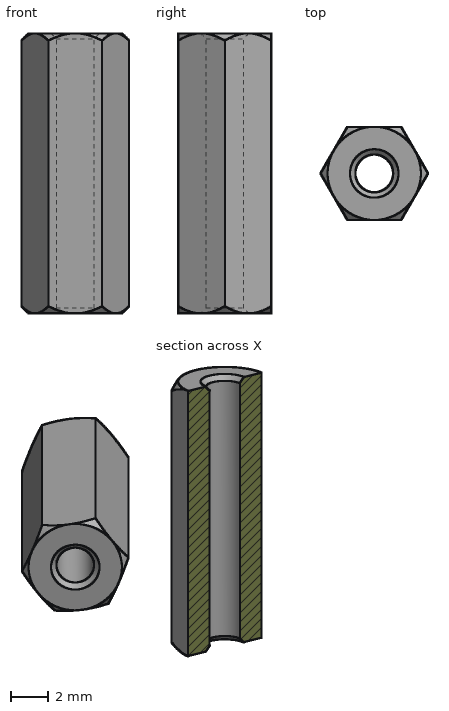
import cadquery as cq
import math

length = 15.0
across_flats = 5.0
bore_diameter = 2.01
countersink_diameter = 2.6

across_corners = across_flats / math.cos(math.radians(30))
flat_radius = across_flats / 2
corner_radius = across_corners / 2
corner_chamfer = corner_radius - flat_radius
countersink_depth = (countersink_diameter - bore_diameter) / 2


def chamfered_hex_body():
    """Hexagonal bar, corners towards +/-X, with 45 degree turned ends."""
    hex_bar = cq.Workplane("XY").polygon(6, across_corners).extrude(length)
    turned_envelope = (
        cq.Workplane("XY")
        .circle(corner_radius)
        .extrude(length)
        .faces("<Z or >Z")
        .edges()
        .chamfer(corner_chamfer)
    )
    return hex_bar.intersect(turned_envelope)


def countersunk_bore():
    """Through bore widened by a 45 degree countersink at each end."""
    bore_radius = bore_diameter / 2
    countersink_radius = countersink_diameter / 2
    half_profile = [
        (0, 0),
        (countersink_radius, 0),
        (bore_radius, countersink_depth),
        (bore_radius, length - countersink_depth),
        (countersink_radius, length),
        (0, length),
    ]
    return cq.Workplane("XZ").polyline(half_profile).close().revolve(360, (0, 0), (0, 1))


result = chamfered_hex_body().cut(countersunk_bore())